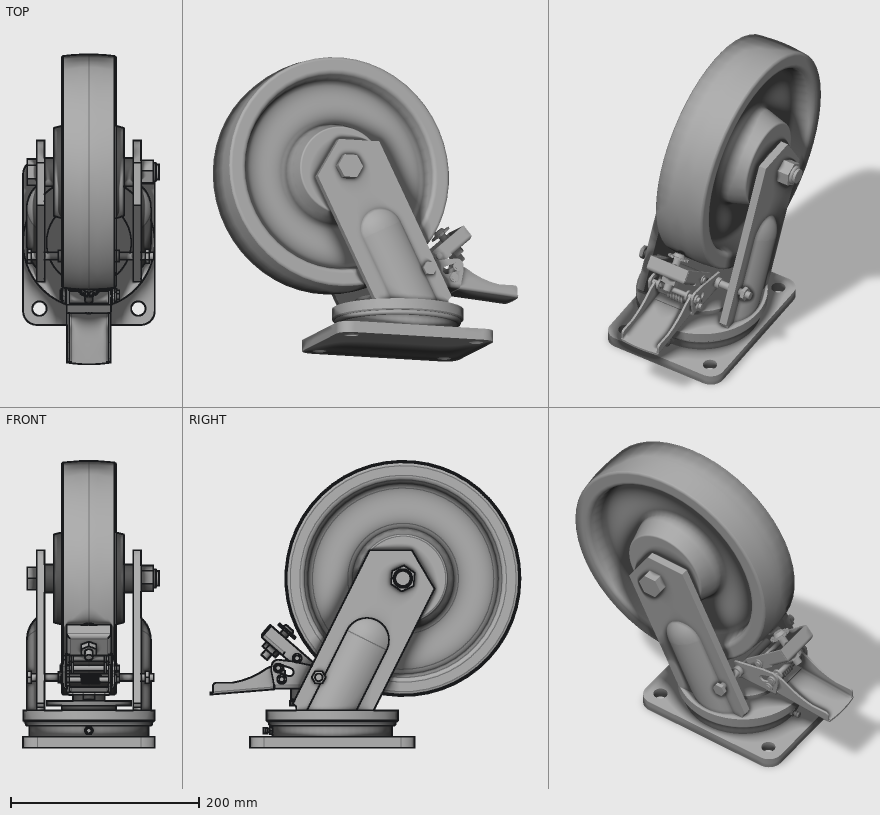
import cadquery as cq
import math


PLATE_WIDTH = 140
PLATE_LENGTH = 175
PLATE_THICKNESS = 12
PLATE_CORNER_RADIUS = 15
HOLE_SPACING_X = 105
HOLE_SPACING_Y = 140
MOUNTING_HOLE_DIAMETER = 15

WHEEL_RADIUS = 125
WHEEL_Y = 75
WHEEL_Z = 180
WHEEL_HALF_WIDTH = 29
TREAD_HALF_WIDTH = 27
TREAD_EDGE_RADIUS = 123.3
SIDE_FACE_RADIUS = 120
RIM_INNER_RADIUS = 106
WEB_HALF_THICKNESS = 7
HUB_HALF_WIDTH = 37.5
HUB_RADIUS = 46.8
WHEEL_DRAFT = math.tan(math.radians(15))
RIM_FILLET = 5
HUB_FILLET = 2

TUBE_DIAMETER = 30
AXLE_DIAMETER = 16
AXLE_FLATS = 24
AXLE_HEAD_HEIGHT = 10
AXLE_NUT_HEIGHT = 13
AXLE_NUT_TURN = 25
AXLE_COLLAR_DIAMETER = 20
AXLE_COLLAR_HEIGHT = 3
AXLE_COLLAR_CHAMFER = 1
AXLE_END_X = 74.5

RING_RADIUS = 63.5
RING_TOP = 23.5
SEAL_RADIUS = 67.5
SEAL_ROUNDING = 3
DISC_RADIUS = 70
DISC_BOTTOM = 28
DISC_CHAMFER = 1.5
DISC_TOP = 40
PIN_RADIUS = 25
COLLAR_RADIUS = 29
COLLAR_BEVEL_HEIGHT = 1.7
COLLAR_BEVEL_WIDTH = 0.4
FLANGE_RADIUS = 45
FLANGE_BOTTOM = 45
FLANGE_TOP = 50
PIN_HEAD_RADIUS = 17
PIN_HEAD_TOP = 58

LEG_INNER_X = 47
LEG_OUTER_X = 55.5
LEG_LEAN = 0.5
LEG_TOP = 210
BULGE_OUTER_X = 66
BULGE_HALF_WIDTH = 23.5
BULGE_TOP_Y = 36.8
BULGE_TOP_Z = 114.6

ROD_Y = -14.3
ROD_Z = 75
ROD_DIAMETER = 8
ROD_HEX_FLATS = 13
ROD_HEAD_X = -65.2
ROD_HEX_HEIGHT = 4
ROD_NUT_X = 60
ROD_END_X = 69
ROD_COLLAR_DIAMETER = 12
ROD_COLLAR_X = 32.3

BRACKET_OUTER_X = 27.5
BRACKET_INNER_X = 25
BRACKET_BOTTOM = 62.7
BRACKET_FRONT_Y = -61
BRACKET_REAR_Y = -8
BRACKET_BEND_RADIUS = 4.5
SHEET = BRACKET_OUTER_X - BRACKET_INNER_X
PIVOT_Y, PIVOT_Z = -53.6, 72.9
GUIDE_Y, GUIDE_Z = -57.4, 84.9
SLOT_END_Y, SLOT_END_Z = -45.4, 80.6
SLOT_WIDTH = 8.5
BRAKE_PIN_DIAMETER = 5.8
RIVET_DIAMETER = 9.6
RIVET_HEAD_X = 29.5
BRAKE_PIN_LEFT_X = -30.4
BRAKE_PIN_RIGHT_X = 32.4
LOCK_POST_Y = -37.8
LOCK_POST_DIAMETER = 12
LOCK_POST_BOTTOM = 52
LOCK_TIP_DIAMETER = 10
SPRING_COILS = 6
SPRING_PITCH = 3.3
SPRING_WIRE_DIAMETER = 2
SPRING_RADIUS = 3.8
SPRING_CENTRE_X = 2

PEDAL_OUTER_X = 23.3
PEDAL_INNER_X = 20.9
PEDAL_TIP_Y = -129.34
PEDAL_CORNER_Y = -127.3
PEDAL_WALL_END_Y = -126.7
PEDAL_HEEL_Y = -61.8
PEDAL_HEEL_Z = 62.1
PEDAL_SLOPE = 0.082
PEDAL_OUTER_BEND_RADIUS = 3
PEDAL_INNER_BEND_RADIUS = 2
PEDAL_WALL_ROUNDING = 3.9
GUIDE_COLLAR_DIAMETER = 12
COLLAR_INNER_X = 16.4
COLLAR_OUTER_X = 18.7

LEVER_ANGLE = 41
LEVER_Y = -52.4
LEVER_Z = 119
LEVER_OUTER_X = 23.6
LEVER_INNER_X = 21.1
LEVER_DEPTH = 16
LEVER_HEAD_END = 18
LEVER_WEB_END = -13
LEVER_TAIL_END = -43
LEVER_TAIL_RADIUS = 8
LEVER_BEND_RADIUS = 4
LEVER_RIVET_ALONG = -27
LEVER_RIVET_DEPTH = 8
LEVER_RIVET_HEIGHT = 1.2
LEVER_RIVET_END_X = 26.5
LEVER_COLLAR_DIAMETER = 8
LEVER_END_STRIP = 1.8
LEVER_END_STEP = 0.3
SHOE_BOLT_DIAMETER = 8.5
SHOE_NUT_FLATS = 16
SHOE_NUT_HEIGHT = 6.6
SHOE_BOLT_LENGTH = 14.3
SHOE_PAD_DIAMETER = 23
SHOE_PAD_BOTTOM = -5.5
SHOE_PAD_THICKNESS = 2.3
SHOE_CAP_DIAMETER = 14
SHOE_CAP_HEIGHT = 3.4
SHOE_CAP_TAPER = 30
SHOE_TEETH = 12
SHOE_NOTCH = 2

NIPPLE_Z = 18.5
NIPPLE_HEX_FLATS = 8
NIPPLE_BASE_DEPTH = 2
NIPPLE_HEX_END = -66.5
NIPPLE_NECK_END = -68.5
NIPPLE_NECK_DIAMETER = 4
NIPPLE_HEAD_DIAMETER = 6.3
NIPPLE_HEAD_END = -73.3
NIPPLE_GROOVE_DEPTH = 0.8


def x_plane(x, y=0, z=0):
    """Plane across X whose local axes are Y and Z."""
    return cq.Plane(origin=(x, y, z), xDir=(0, 1, 0), normal=(1, 0, 0))


def x_cylinder(y, z, diameter, x_start, x_end):
    return cq.Workplane(x_plane(x_start, y, z)).circle(diameter / 2).extrude(x_end - x_start)


def x_hexagon(y, z, flats, x_start, x_end, turn=0):
    """Hexagon along X with two corners on the Y axis before it is turned."""
    corners = flats / math.cos(math.pi / 6)
    return (
        cq.Workplane(x_plane(x_start, y, z))
        .transformed(rotate=(0, 0, turn))
        .polygon(6, corners)
        .extrude(x_end - x_start)
    )


def z_cylinder(radius, bottom, top, y=0):
    return cq.Workplane("XY", origin=(0, y, bottom)).circle(radius).extrude(top - bottom)


def x_prism(points, half_width):
    """Prism with a (Y, Z) outline, centred on X = 0."""
    return cq.Workplane(x_plane(0)).polyline(points).close().extrude(half_width, both=True)


def grease_nipple():
    head_radius = NIPPLE_HEAD_DIAMETER / 2
    base_y = NIPPLE_BASE_DEPTH - RING_RADIUS
    hexagon = (
        cq.Workplane("XZ", origin=(0, base_y, NIPPLE_Z))
        .polygon(6, NIPPLE_HEX_FLATS / math.cos(math.pi / 6))
        .extrude(base_y - NIPPLE_HEX_END)
    )
    neck = (
        cq.Workplane("XZ", origin=(0, NIPPLE_HEX_END, NIPPLE_Z))
        .circle(NIPPLE_NECK_DIAMETER / 2)
        .extrude(NIPPLE_HEX_END - NIPPLE_NECK_END)
    )
    groove_y = (NIPPLE_NECK_END + NIPPLE_HEAD_END) / 2
    half_groove = NIPPLE_GROOVE_DEPTH / 2
    head = (
        cq.Workplane("XY", origin=(0, 0, NIPPLE_Z))
        .moveTo(0, NIPPLE_NECK_END)
        .lineTo(head_radius, NIPPLE_NECK_END)
        .lineTo(head_radius, groove_y + half_groove)
        .lineTo(head_radius - NIPPLE_GROOVE_DEPTH, groove_y)
        .lineTo(head_radius, groove_y - half_groove)
        .lineTo(head_radius, NIPPLE_HEAD_END)
        .lineTo(0, NIPPLE_HEAD_END)
        .close()
        .revolve(360, (0, 0, 0), (0, 1, 0))
    )
    return hexagon.union(neck).union(head)


def make_mounting_plate():
    collar = z_cylinder(COLLAR_RADIUS, DISC_TOP, FLANGE_BOTTOM)
    collar = collar.faces("<Z").chamfer(COLLAR_BEVEL_HEIGHT, COLLAR_BEVEL_WIDTH)
    plate = (
        cq.Workplane("XY")
        .rect(PLATE_WIDTH, PLATE_LENGTH)
        .extrude(PLATE_THICKNESS)
        .edges("|Z")
        .fillet(PLATE_CORNER_RADIUS)
        .faces(">Z")
        .workplane()
        .rect(HOLE_SPACING_X, HOLE_SPACING_Y, forConstruction=True)
        .vertices()
        .hole(MOUNTING_HOLE_DIAMETER)
    )
    return (
        plate.union(z_cylinder(RING_RADIUS, PLATE_THICKNESS, RING_TOP))
        .union(z_cylinder(PIN_RADIUS, RING_TOP, DISC_TOP))
        .union(collar)
        .union(z_cylinder(FLANGE_RADIUS, FLANGE_BOTTOM, FLANGE_TOP))
        .union(z_cylinder(PIN_HEAD_RADIUS, FLANGE_TOP, PIN_HEAD_TOP))
        .union(grease_nipple())
    )


def leg_outline():
    top_rear_y = 84.6
    top_front_y = 39.6
    shoulder_y, shoulder_z = 108.6, 169
    toe_z = 47.5
    toe_y = top_front_y - LEG_LEAN * (LEG_TOP - toe_z)
    foot_rear_y = shoulder_y - LEG_LEAN * (shoulder_z - DISC_TOP)
    foot_front_y, foot_front_z = -38.3, 43.5
    return [
        (top_rear_y, LEG_TOP),
        (top_front_y, LEG_TOP),
        (toe_y, toe_z),
        (foot_front_y, foot_front_z),
        (foot_front_y, DISC_TOP),
        (foot_rear_y, DISC_TOP),
        (shoulder_y, shoulder_z),
    ]


def fork_leg():
    """Leg on the +X side, with a round bulge that ends in a spherical dome."""
    bulge_height = BULGE_OUTER_X - LEG_OUTER_X
    bulge_radius = (BULGE_HALF_WIDTH**2 + bulge_height**2) / (2 * bulge_height)
    centre_x = BULGE_OUTER_X - bulge_radius
    dome_centre = (centre_x, BULGE_TOP_Y, BULGE_TOP_Z)
    leg_thickness = LEG_OUTER_X - LEG_INNER_X
    leg = cq.Workplane(x_plane(LEG_INNER_X)).polyline(leg_outline()).close().extrude(leg_thickness)
    down_leg = cq.Plane(origin=dome_centre, xDir=(1, 0, 0), normal=(0, -LEG_LEAN, -1))
    bulge = cq.Workplane(down_leg).circle(bulge_radius).extrude(2 * BULGE_TOP_Z)
    dome = cq.Workplane("XY", origin=dome_centre).sphere(bulge_radius)
    kept_size = 4 * BULGE_TOP_Z
    kept_region = cq.Workplane("XY", origin=(LEG_OUTER_X, 0, DISC_TOP)).box(
        kept_size, kept_size, kept_size, centered=(False, True, False)
    )
    return leg.union(bulge.union(dome).intersect(kept_region))


def make_fork():
    seal = z_cylinder(SEAL_RADIUS, RING_TOP, DISC_BOTTOM)
    seal = seal.faces("<Z").edges().fillet(SEAL_ROUNDING)
    disc = z_cylinder(DISC_RADIUS, DISC_BOTTOM, DISC_TOP)
    disc = disc.faces("<Z").edges().chamfer(DISC_CHAMFER)
    leg = fork_leg()
    return (
        disc.union(seal)
        .union(leg)
        .union(leg.mirror("YZ"))
        .cut(z_cylinder(PIN_RADIUS, RING_TOP, DISC_TOP))
        .cut(x_cylinder(WHEEL_Y, WHEEL_Z, AXLE_DIAMETER, -LEG_OUTER_X, LEG_OUTER_X))
        .cut(x_cylinder(ROD_Y, ROD_Z, ROD_DIAMETER, -BULGE_OUTER_X, BULGE_OUTER_X))
    )


def half_wheel():
    """Half of the wheel on the +X side, revolved about the axle."""
    bore = TUBE_DIAMETER / 2
    hub_root = HUB_RADIUS + WHEEL_DRAFT * (HUB_HALF_WIDTH - WEB_HALF_THICKNESS)
    rim_root = RIM_INNER_RADIUS - WHEEL_DRAFT * (WHEEL_HALF_WIDTH - WEB_HALF_THICKNESS)
    crown_mid = (TREAD_HALF_WIDTH / 2, WHEEL_RADIUS - (WHEEL_RADIUS - TREAD_EDGE_RADIUS) / 4)
    tread_edge_inset = 0.6
    edge_mid = (WHEEL_HALF_WIDTH - tread_edge_inset, TREAD_EDGE_RADIUS - 2 * tread_edge_inset)
    half = (
        cq.Workplane("XY")
        .moveTo(0, bore)
        .lineTo(HUB_HALF_WIDTH, bore)
        .lineTo(HUB_HALF_WIDTH, HUB_RADIUS)
        .lineTo(WEB_HALF_THICKNESS, hub_root)
        .lineTo(WEB_HALF_THICKNESS, rim_root)
        .lineTo(WHEEL_HALF_WIDTH, RIM_INNER_RADIUS)
        .lineTo(WHEEL_HALF_WIDTH, SIDE_FACE_RADIUS)
        .threePointArc(edge_mid, (TREAD_HALF_WIDTH, TREAD_EDGE_RADIUS))
        .threePointArc(crown_mid, (0, WHEEL_RADIUS))
        .close()
        .revolve(360, (0, 0, 0), (1, 0, 0))
    )

    def rounded(wheel_half, x, radius, fillet_radius):
        edges = [
            edge
            for edge in wheel_half.edges("%CIRCLE").vals()
            if math.isclose(edge.Center().x, x, abs_tol=0.01) and math.isclose(edge.radius(), radius)
        ]
        return wheel_half.newObject([wheel_half.val().fillet(fillet_radius, edges)])

    half = rounded(half, WEB_HALF_THICKNESS, hub_root, RIM_FILLET)
    half = rounded(half, WEB_HALF_THICKNESS, rim_root, RIM_FILLET)
    half = rounded(half, WHEEL_HALF_WIDTH, RIM_INNER_RADIUS, RIM_FILLET)
    half = rounded(half, HUB_HALF_WIDTH, HUB_RADIUS, HUB_FILLET)
    return half.translate((0, WHEEL_Y, WHEEL_Z))


def make_wheel():
    half = half_wheel()
    return half.union(half.mirror("YZ"))


def make_axle_tube():
    tube = x_cylinder(WHEEL_Y, WHEEL_Z, TUBE_DIAMETER, -LEG_INNER_X, LEG_INNER_X)
    return tube.cut(x_cylinder(WHEEL_Y, WHEEL_Z, AXLE_DIAMETER, -LEG_INNER_X, LEG_INNER_X))


def make_axle():
    nut_end = LEG_OUTER_X + AXLE_NUT_HEIGHT
    shank = x_cylinder(WHEEL_Y, WHEEL_Z, AXLE_DIAMETER, -LEG_OUTER_X, AXLE_END_X)
    head = x_hexagon(WHEEL_Y, WHEEL_Z, AXLE_FLATS, -LEG_OUTER_X - AXLE_HEAD_HEIGHT, -LEG_OUTER_X)
    nut = x_hexagon(WHEEL_Y, WHEEL_Z, AXLE_FLATS, LEG_OUTER_X, nut_end, AXLE_NUT_TURN)
    collar = x_cylinder(WHEEL_Y, WHEEL_Z, AXLE_COLLAR_DIAMETER, nut_end, nut_end + AXLE_COLLAR_HEIGHT)
    collar = collar.faces(">X").edges().chamfer(AXLE_COLLAR_CHAMFER)
    return shank.union(head).union(nut).union(collar)


def make_brake_rod():
    rod = x_cylinder(ROD_Y, ROD_Z, ROD_DIAMETER, ROD_HEAD_X, ROD_END_X)
    for start in (ROD_HEAD_X, ROD_NUT_X):
        rod = rod.union(x_hexagon(ROD_Y, ROD_Z, ROD_HEX_FLATS, start, start + ROD_HEX_HEIGHT))
    for start, end in ((-ROD_COLLAR_X, -BRACKET_OUTER_X), (BRACKET_OUTER_X, ROD_COLLAR_X)):
        rod = rod.union(x_cylinder(ROD_Y, ROD_Z, ROD_COLLAR_DIAMETER, start, end))
    return rod


def pin_collars(y, z, diameter):
    left = x_cylinder(y, z, diameter, -COLLAR_OUTER_X, -COLLAR_INNER_X)
    right = x_cylinder(y, z, diameter, COLLAR_INNER_X, COLLAR_OUTER_X)
    return left.add(right)


def riveted_pin(y, z):
    """Brake pin with a rivet head outside each bracket wall."""
    pin = x_cylinder(y, z, BRAKE_PIN_DIAMETER, BRAKE_PIN_LEFT_X, BRAKE_PIN_RIGHT_X)
    for start, end in ((-RIVET_HEAD_X, -BRACKET_OUTER_X), (BRACKET_OUTER_X, RIVET_HEAD_X)):
        pin = pin.union(x_cylinder(y, z, RIVET_DIAMETER, start, end))
    return pin


def spring():
    """Coil spring wound tightly on the pivot pin."""
    length = SPRING_COILS * SPRING_PITCH
    start_x = SPRING_CENTRE_X - length / 2
    helix = cq.Wire.makeHelix(
        SPRING_PITCH,
        length,
        SPRING_RADIUS,
        center=cq.Vector(start_x, PIVOT_Y, PIVOT_Z),
        dir=cq.Vector(1, 0, 0),
    )
    start = helix.startPoint()
    wire_plane = cq.Plane(origin=start, xDir=(1, 0, 0), normal=helix.tangentAt(0))
    return cq.Workplane(wire_plane).circle(SPRING_WIRE_DIAMETER / 2).sweep(cq.Workplane(helix), isFrenet=True)


def bracket_channel():
    rear_top_z = 84.5
    top_kink = (-43.4, 92.2)
    nose_start = (-57, 93.8)
    nose_mid = (-62.3, 91.8)
    nose_y, nose_top_z, nose_bottom_z = -64.5, 87, 81
    outer = (
        cq.Workplane(x_plane(0))
        .moveTo(BRACKET_REAR_Y, BRACKET_BOTTOM)
        .lineTo(BRACKET_REAR_Y, rear_top_z)
        .lineTo(*top_kink)
        .lineTo(*nose_start)
        .threePointArc(nose_mid, (nose_y, nose_top_z))
        .lineTo(nose_y, nose_bottom_z)
        .lineTo(BRACKET_FRONT_Y, BRACKET_BOTTOM)
        .close()
        .extrude(BRACKET_OUTER_X, both=True)
        .faces("<Z")
        .edges("|Y")
        .fillet(BRACKET_BEND_RADIUS)
    )
    floor_top = BRACKET_BOTTOM + SHEET
    inside = (
        cq.Workplane("XY", origin=(0, 0, floor_top))
        .box(2 * BRACKET_INNER_X, 4 * PLATE_LENGTH, PLATE_LENGTH, centered=(True, True, False))
        .faces("<Z")
        .edges("|Y")
        .fillet(BRACKET_BEND_RADIUS - SHEET)
    )
    return outer.cut(inside)


def guide_slot():
    """Slot through both bracket walls in which the pedal pin travels."""
    run_y = SLOT_END_Y - GUIDE_Y
    run_z = SLOT_END_Z - GUIDE_Z
    length = math.hypot(run_y, run_z)
    angle = math.degrees(math.atan2(run_z, run_y))
    middle = x_plane(0, (SLOT_END_Y + GUIDE_Y) / 2, (SLOT_END_Z + GUIDE_Z) / 2)
    return (
        cq.Workplane(middle)
        .slot2D(length + SLOT_WIDTH, SLOT_WIDTH, angle)
        .extrude(BRACKET_OUTER_X, both=True)
    )


def make_brake_bracket():
    post_radius = LOCK_POST_DIAMETER / 2
    return (
        bracket_channel()
        .cut(guide_slot())
        .cut(x_cylinder(ROD_Y, ROD_Z, ROD_DIAMETER, -BRACKET_OUTER_X, BRACKET_OUTER_X))
        .union(z_cylinder(post_radius, LOCK_POST_BOTTOM, BRACKET_BOTTOM, LOCK_POST_Y))
        .union(z_cylinder(LOCK_TIP_DIAMETER / 2, FLANGE_TOP, LOCK_POST_BOTTOM, LOCK_POST_Y))
        .union(riveted_pin(PIVOT_Y, PIVOT_Z))
        .union(spring())
    )


def pedal_floor_z(y):
    """Height of the pedal underside, which slopes down towards its tip."""
    return PEDAL_HEEL_Z + PEDAL_SLOPE * (y - PEDAL_HEEL_Y)


def make_pedal():
    wall_rear_y = -50
    wall_rear_top = 82
    floor_clearance = 1
    wall_top = 69.4
    wall_bottom = BRACKET_BOTTOM + SHEET + floor_clearance
    rounding_inset = PEDAL_WALL_ROUNDING * (1 - math.sqrt(0.5))
    rounding_mid = (PEDAL_WALL_END_Y + rounding_inset, wall_top - rounding_inset)
    sweep_start_y = -106
    sweep_mid = (-88.5, 74.2)
    sweep_end = (-69.1, 84.8)
    wall_peak = (-60, 88.5)
    tip_floor = pedal_floor_z(PEDAL_TIP_Y)
    floor_side = cq.selectors.DirectionMinMaxSelector(cq.Vector(0, PEDAL_SLOPE, -1))
    outer = (
        cq.Workplane(x_plane(0))
        .moveTo(PEDAL_HEEL_Y, PEDAL_HEEL_Z)
        .lineTo(PEDAL_TIP_Y, tip_floor)
        .lineTo(PEDAL_TIP_Y, tip_floor + SHEET)
        .lineTo(PEDAL_WALL_END_Y, pedal_floor_z(PEDAL_WALL_END_Y) + SHEET)
        .lineTo(PEDAL_WALL_END_Y, wall_top - PEDAL_WALL_ROUNDING)
        .threePointArc(rounding_mid, (PEDAL_WALL_END_Y + PEDAL_WALL_ROUNDING, wall_top))
        .lineTo(sweep_start_y, wall_top)
        .threePointArc(sweep_mid, sweep_end)
        .lineTo(*wall_peak)
        .lineTo(wall_rear_y, wall_rear_top)
        .lineTo(wall_rear_y, wall_bottom)
        .lineTo(PEDAL_HEEL_Y, wall_bottom)
        .close()
        .extrude(PEDAL_OUTER_X, both=True)
        .faces(floor_side)
        .edges("#X")
        .fillet(PEDAL_OUTER_BEND_RADIUS)
    )
    inside = x_prism(
        [
            (0, pedal_floor_z(0) + SHEET),
            (-PLATE_LENGTH, pedal_floor_z(-PLATE_LENGTH) + SHEET),
            (-PLATE_LENGTH, WHEEL_Z),
            (0, WHEEL_Z),
        ],
        PEDAL_INNER_X,
    )
    inside = inside.faces(floor_side).edges("#X").fillet(PEDAL_INNER_BEND_RADIUS)
    rounded_end = (
        cq.Workplane("XY")
        .moveTo(-PEDAL_OUTER_X, 0)
        .lineTo(-PEDAL_OUTER_X, PEDAL_CORNER_Y)
        .threePointArc((0, PEDAL_TIP_Y), (PEDAL_OUTER_X, PEDAL_CORNER_Y))
        .lineTo(PEDAL_OUTER_X, 0)
        .close()
        .extrude(WHEEL_Z)
    )
    pedal = outer.cut(inside).intersect(rounded_end)
    pedal = pedal.cut(x_cylinder(PIVOT_Y, PIVOT_Z, BRAKE_PIN_DIAMETER, -PEDAL_OUTER_X, PEDAL_OUTER_X))
    pedal = pedal.union(riveted_pin(GUIDE_Y, GUIDE_Z))
    pedal = pedal.union(pin_collars(GUIDE_Y, GUIDE_Z, GUIDE_COLLAR_DIAMETER))
    return pedal


def lever_plane():
    """Local X runs up along the lever, local Y runs from its open side to its web."""
    angle = math.radians(LEVER_ANGLE)
    return cq.Plane(
        origin=(0, LEVER_Y, LEVER_Z),
        xDir=(0, -math.cos(angle), math.sin(angle)),
        normal=(1, 0, 0),
    )


def lever_box(start, end, top, bottom, half_width):
    return (
        cq.Workplane(lever_plane())
        .center((start + end) / 2, (top + bottom) / 2)
        .rect(end - start, bottom - top)
        .extrude(half_width, both=True)
    )


def across_lever(depth):
    """Workplane across the shoe bolt axis, at a depth below the open side of the lever."""
    plane = lever_plane()
    return cq.Workplane(cq.Plane(origin=plane.toWorldCoords((0, depth, 0)), xDir=(1, 0, 0), normal=plane.yDir))


def lever_channel():
    wall = LEVER_OUTER_X - LEVER_INNER_X
    head = lever_box(LEVER_WEB_END, LEVER_HEAD_END, 0, LEVER_DEPTH, LEVER_OUTER_X)
    up_lever = cq.selectors.DirectionMinMaxSelector(lever_plane().xDir)
    tail_side = cq.selectors.DirectionMinMaxSelector(lever_plane().xDir, False)
    web_side = cq.selectors.DirectionMinMaxSelector(lever_plane().yDir)
    along_lever = cq.selectors.ParallelDirSelector(lever_plane().xDir)
    head = head.faces(web_side).edges(along_lever + up_lever).fillet(LEVER_BEND_RADIUS)
    tail = lever_box(LEVER_TAIL_END, LEVER_WEB_END, 0, LEVER_DEPTH, LEVER_OUTER_X)
    tail = tail.faces(tail_side).edges(web_side).fillet(LEVER_TAIL_RADIUS)
    head_inside = lever_box(LEVER_WEB_END, LEVER_HEAD_END - wall, 0, LEVER_DEPTH - wall, LEVER_INNER_X)
    tail_inside = lever_box(LEVER_TAIL_END, LEVER_WEB_END, 0, LEVER_DEPTH, LEVER_INNER_X)
    strip_start = LEVER_HEAD_END - LEVER_END_STRIP
    end_step = lever_box(strip_start, LEVER_HEAD_END, 0, LEVER_DEPTH, LEVER_OUTER_X)
    end_step = end_step.cut(
        lever_box(strip_start, LEVER_HEAD_END, 0, LEVER_DEPTH, LEVER_OUTER_X - LEVER_END_STEP)
    )
    return head.union(tail).cut(head_inside).cut(tail_inside).cut(end_step)


def lever_rivet():
    rivet_place = lever_plane().toWorldCoords((LEVER_RIVET_ALONG, LEVER_RIVET_DEPTH, 0))
    y, z = rivet_place.y, rivet_place.z
    head_end = LEVER_OUTER_X + LEVER_RIVET_HEIGHT
    rivet = x_cylinder(y, z, BRAKE_PIN_DIAMETER, -LEVER_RIVET_END_X, LEVER_RIVET_END_X)
    rivet = rivet.union(pin_collars(y, z, LEVER_COLLAR_DIAMETER))
    for start, end in ((-head_end, -LEVER_OUTER_X), (LEVER_OUTER_X, head_end)):
        rivet = rivet.union(x_cylinder(y, z, RIVET_DIAMETER, start, end))
    return rivet


def brake_shoe():
    """Adjusting bolt with its nut under the web and a toothed pad facing the tread."""
    stem_length = LEVER_DEPTH + SHOE_BOLT_LENGTH - SHOE_PAD_BOTTOM
    stem = across_lever(SHOE_PAD_BOTTOM).circle(SHOE_BOLT_DIAMETER / 2).extrude(stem_length)
    nut_corners = SHOE_NUT_FLATS / math.cos(math.pi / 6)
    nut = (
        across_lever(LEVER_DEPTH)
        .transformed(rotate=(0, 0, 90))
        .polygon(6, nut_corners)
        .extrude(SHOE_NUT_HEIGHT)
    )
    pad = (
        across_lever(SHOE_PAD_BOTTOM - SHOE_PAD_THICKNESS)
        .circle(SHOE_PAD_DIAMETER / 2)
        .extrude(SHOE_PAD_THICKNESS)
    )
    notches = (
        across_lever(SHOE_PAD_BOTTOM - SHOE_PAD_THICKNESS)
        .polarArray(SHOE_PAD_DIAMETER / 2, 0, 360, SHOE_TEETH)
        .rect(2 * SHOE_NOTCH, SHOE_NOTCH)
        .extrude(SHOE_PAD_THICKNESS)
    )
    cap = (
        across_lever(SHOE_PAD_BOTTOM - SHOE_PAD_THICKNESS)
        .circle(SHOE_CAP_DIAMETER / 2)
        .extrude(-SHOE_CAP_HEIGHT, taper=SHOE_CAP_TAPER)
    )
    return stem.union(nut).union(pad.cut(notches)).union(cap)


def make_brake_lever():
    return lever_channel().union(lever_rivet()).union(brake_shoe())


mounting_plate = make_mounting_plate()
fork = make_fork()
wheel = make_wheel()
axle_tube = make_axle_tube()
axle = make_axle()
brake_rod = make_brake_rod()
brake_bracket = make_brake_bracket()
pedal = make_pedal()
brake_lever = make_brake_lever()

bodies = [
    mounting_plate,
    fork,
    wheel,
    axle_tube,
    axle,
    brake_rod,
    brake_bracket,
    pedal,
    brake_lever,
]
result = cq.Compound.makeCompound([body.solids().val() for body in bodies])